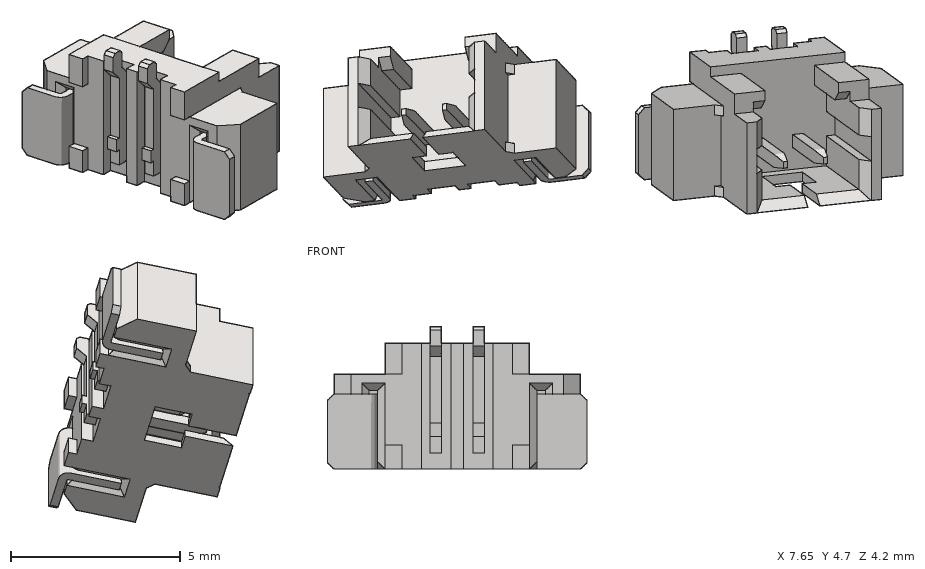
import cadquery as cq

OVERALL_WIDTH = 7.65
OVERALL_DEPTH = 4.7
OVERALL_HEIGHT = 4.2

BODY_HALF_WIDTH = 2.13
BODY_FRONT = 0.3
BLOCK_TOP = 3.71
BLOCK_BACK = 1.74
WALL_TOP = 2.8

CAVITY_HALF_WIDTH = 1.53
FLOOR_THICKNESS = 0.29
MOUTH_CHAMFER = 0.305
MOUTH_SIDE_FLARE = 0.28
LIP_HALF_GAP = 1.16
LIP_TOP = 3.41
LIP_BACK = 3.69
RECESS_DEPTH = 0.28
RECESS_BOTTOM = 1.21
RECESS_HEIGHT = 0.75

WINDOW_HALF_WIDTH = 0.635
WINDOW_FRONT = 2.1
WINDOW_BACK = 3.23
SLIT_HALF_WIDTH = 0.19

WING_HALF_WIDTH = 3.625
WING_BACK = 2.59
WING_CHAMFER = 0.5
GUSSET_LEG = 0.21
GUSSET_HEIGHT = 0.305

PAD_FRONT = 0.045
PAD_INNER = 1.62
FOOT_HEIGHT = 0.71

PIN_PITCH = 1.27
PIN_WIDTH = 0.33
GROOVE_INNER = 0.19
GROOVE_OUTER = 1.05
GROOVE_BACK = 0.65
TAIL_THICKNESS = 0.44
TAIL_SHIFT = 0.305
TAIL_BEND_TOP = 3.62
TAIL_BOTTOM = 0.48
TAIL_TIP_CHAMFER = 0.1
PIN_FRONT = 0.17
PIN_BOTTOM = 0.965
PIN_HEIGHT = 0.4
PIN_TAPER_START = 3.49
PIN_TIP = 3.99
PIN_TIP_WIDTH = 0.13
PIN_TIP_HEIGHT = 0.2

BRACKET_THICKNESS = 0.25
BRACKET_INNER_RADIUS = 0.045
BRACKET_HEIGHT = 2.21
BRACKET_CHAMFER = 0.19
LEG_INNER = 2.34
SLOT_TOP = 2.32
SLOT_END = 1.835
SLOT_FLARE = LEG_INNER - BODY_HALF_WIDTH


def box(x0, x1, y0, y1, z0, z1):
    """Axis-aligned box between two opposite corners."""
    return cq.Workplane("XY").box(x1 - x0, y1 - y0, z1 - z0, centered=False).translate((x0, y0, z0))


def centered_box(half_width, y0, y1, z0, z1):
    """Box symmetric about the YZ plane."""
    return box(-half_width, half_width, y0, y1, z0, z1)


def prism_xy(points, z0, z1):
    """Upright prism over a closed XY outline."""
    return cq.Workplane("XY").workplane(offset=z0).polyline(points).close().extrude(z1 - z0)


def prism_yz(points, x0, x1):
    """Prism along X over a closed YZ outline."""
    return cq.Workplane("YZ").workplane(offset=x0).polyline(points).close().extrude(x1 - x0)


def both_sides(shape):
    """The +X shape together with its mirror image on the -X side."""
    return shape.union(shape.mirror("YZ"))


def make_cavity():
    """Space inside the walls: flared mouth, side recesses and the gap between the lips."""
    flare_start = OVERALL_DEPTH - MOUTH_CHAMFER
    cavity = centered_box(CAVITY_HALF_WIDTH, BLOCK_BACK, OVERALL_DEPTH, FLOOR_THICKNESS, WALL_TOP)
    mouth_sides = prism_xy(
        [
            (-CAVITY_HALF_WIDTH, flare_start),
            (CAVITY_HALF_WIDTH, flare_start),
            (CAVITY_HALF_WIDTH + MOUTH_SIDE_FLARE, OVERALL_DEPTH),
            (-CAVITY_HALF_WIDTH - MOUTH_SIDE_FLARE, OVERALL_DEPTH),
        ],
        FLOOR_THICKNESS - MOUTH_CHAMFER,
        WALL_TOP,
    )
    mouth_floor = prism_yz(
        [
            (flare_start, FLOOR_THICKNESS),
            (OVERALL_DEPTH, FLOOR_THICKNESS - MOUTH_CHAMFER),
            (OVERALL_DEPTH, WALL_TOP),
            (flare_start, WALL_TOP),
        ],
        -BODY_HALF_WIDTH,
        BODY_HALF_WIDTH,
    )
    recess = centered_box(
        CAVITY_HALF_WIDTH + RECESS_DEPTH,
        BLOCK_BACK,
        OVERALL_DEPTH,
        RECESS_BOTTOM,
        RECESS_BOTTOM + RECESS_HEIGHT,
    )
    lip_gap = centered_box(LIP_HALF_GAP, BLOCK_BACK, LIP_BACK, WALL_TOP, LIP_TOP)
    lip_lead_in = prism_yz(
        [
            (LIP_BACK - MOUTH_CHAMFER, WALL_TOP),
            (LIP_BACK, WALL_TOP),
            (LIP_BACK, WALL_TOP + MOUTH_CHAMFER),
        ],
        -CAVITY_HALF_WIDTH,
        CAVITY_HALF_WIDTH,
    )
    cavity = cavity.union(mouth_sides.intersect(mouth_floor)).union(recess)
    return cavity.union(lip_gap).union(lip_lead_in)


def make_wing():
    """Right wing with its chamfered front corner and two gussets at the back."""
    wing = prism_xy(
        [
            (0, BODY_FRONT),
            (WING_HALF_WIDTH - WING_CHAMFER, BODY_FRONT),
            (WING_HALF_WIDTH, BODY_FRONT + WING_CHAMFER),
            (WING_HALF_WIDTH, WING_BACK),
            (BODY_HALF_WIDTH, WING_BACK),
            (BODY_HALF_WIDTH, BLOCK_BACK),
            (0, BLOCK_BACK),
        ],
        0,
        WALL_TOP,
    )
    gusset_outline = [
        (BODY_HALF_WIDTH, WING_BACK),
        (BODY_HALF_WIDTH + GUSSET_LEG, WING_BACK),
        (BODY_HALF_WIDTH, WING_BACK + GUSSET_LEG),
    ]
    for gusset_bottom in (0, WALL_TOP - GUSSET_HEIGHT):
        wing = wing.union(prism_xy(gusset_outline, gusset_bottom, gusset_bottom + GUSSET_HEIGHT))
    return wing


def make_bracket_slot():
    """Right bracket slot, flared on the front face and along the open bottom edge."""
    leg_outer = LEG_INNER + BRACKET_THICKNESS
    slot = box(LEG_INNER, leg_outer, BODY_FRONT, SLOT_END, 0, SLOT_TOP)
    flare_width = BRACKET_THICKNESS + 2 * SLOT_FLARE
    flare_center = LEG_INNER + BRACKET_THICKNESS / 2
    front_flare = (
        cq.Workplane("XZ", origin=(flare_center, BODY_FRONT, 0))
        .rect(flare_width, 2 * (SLOT_TOP + SLOT_FLARE))
        .workplane(offset=-SLOT_FLARE)
        .rect(BRACKET_THICKNESS, 2 * SLOT_TOP)
        .loft(ruled=True)
    )
    bottom_flare = (
        cq.Workplane("XY", origin=(flare_center, BODY_FRONT, 0))
        .rect(flare_width, 2 * (SLOT_END - BODY_FRONT + SLOT_FLARE))
        .workplane(offset=SLOT_FLARE)
        .rect(BRACKET_THICKNESS, 2 * (SLOT_END - BODY_FRONT))
        .loft(ruled=True)
    )
    return slot.union(front_flare).union(bottom_flare)


def make_housing():
    """Plastic housing with wings, pads, grooves, cavity and floor openings."""
    walls = centered_box(BODY_HALF_WIDTH, BODY_FRONT, OVERALL_DEPTH, 0, WALL_TOP)
    lips = centered_box(BODY_HALF_WIDTH, BODY_FRONT, LIP_BACK, WALL_TOP, LIP_TOP)
    block = centered_box(BODY_HALF_WIDTH, BODY_FRONT, BLOCK_BACK, WALL_TOP, BLOCK_TOP)
    housing = walls.union(lips).union(block).union(both_sides(make_wing()))
    for z0, z1 in ((0, FOOT_HEIGHT), (WALL_TOP, BLOCK_TOP)):
        pad = box(PAD_INNER, BODY_HALF_WIDTH, PAD_FRONT, BODY_FRONT, z0, z1)
        housing = housing.union(both_sides(pad))

    housing = housing.cut(make_cavity())
    housing = housing.cut(centered_box(WINDOW_HALF_WIDTH, WINDOW_FRONT, WINDOW_BACK, 0, FLOOR_THICKNESS))
    housing = housing.cut(centered_box(SLIT_HALF_WIDTH, WINDOW_BACK, OVERALL_DEPTH, 0, FLOOR_THICKNESS))
    groove = box(GROOVE_INNER, GROOVE_OUTER, BODY_FRONT, GROOVE_BACK, 0, BLOCK_TOP)
    return housing.cut(both_sides(groove)).cut(both_sides(make_bracket_slot()))


def make_contact():
    """Right contact: offset upright tail crossed by a horizontal pin with a tapered tip."""
    tail_outline = [
        (TAIL_SHIFT, TAIL_BOTTOM),
        (TAIL_SHIFT, TAIL_BEND_TOP - TAIL_SHIFT),
        (0, TAIL_BEND_TOP),
        (0, OVERALL_HEIGHT - TAIL_TIP_CHAMFER),
        (TAIL_TIP_CHAMFER, OVERALL_HEIGHT),
        (TAIL_THICKNESS - TAIL_TIP_CHAMFER, OVERALL_HEIGHT),
        (TAIL_THICKNESS, OVERALL_HEIGHT - TAIL_TIP_CHAMFER),
        (TAIL_THICKNESS, TAIL_BEND_TOP),
        (TAIL_THICKNESS + TAIL_SHIFT, TAIL_BEND_TOP - TAIL_SHIFT),
        (TAIL_THICKNESS + TAIL_SHIFT, TAIL_BOTTOM),
    ]
    tail = prism_yz(tail_outline, -PIN_WIDTH / 2, PIN_WIDTH / 2)
    shank = (
        cq.Workplane("XZ", origin=(0, PIN_FRONT, PIN_BOTTOM + PIN_HEIGHT / 2))
        .rect(PIN_WIDTH, PIN_HEIGHT)
        .extrude(PIN_FRONT - PIN_TAPER_START)
    )
    tip = (
        cq.Workplane("XZ", origin=(0, PIN_TAPER_START, PIN_BOTTOM + PIN_HEIGHT / 2))
        .rect(PIN_WIDTH, PIN_HEIGHT)
        .workplane(offset=PIN_TAPER_START - PIN_TIP)
        .rect(PIN_TIP_WIDTH, PIN_TIP_HEIGHT)
        .loft(ruled=True)
    )
    return tail.union(shank).union(tip).translate((PIN_PITCH / 2, 0, 0))


def make_bracket():
    """Right hold-down bracket: an L of bent strip with chamfered outer corners."""
    outer_end = OVERALL_WIDTH / 2
    leg_outer = LEG_INNER + BRACKET_THICKNESS
    outer_radius = BRACKET_INNER_RADIUS + BRACKET_THICKNESS
    bracket = (
        cq.Workplane("XY")
        .moveTo(outer_end, 0)
        .lineTo(LEG_INNER + outer_radius, 0)
        .radiusArc((LEG_INNER, outer_radius), outer_radius)
        .lineTo(LEG_INNER, SLOT_END)
        .lineTo(leg_outer, SLOT_END)
        .lineTo(leg_outer, outer_radius)
        .radiusArc((LEG_INNER + outer_radius, BRACKET_THICKNESS), -BRACKET_INNER_RADIUS)
        .lineTo(outer_end, BRACKET_THICKNESS)
        .close()
        .extrude(BRACKET_HEIGHT)
    )
    return bracket.faces(">X").edges("|Y").chamfer(BRACKET_CHAMFER)


result = make_housing().union(both_sides(make_contact())).union(both_sides(make_bracket()))